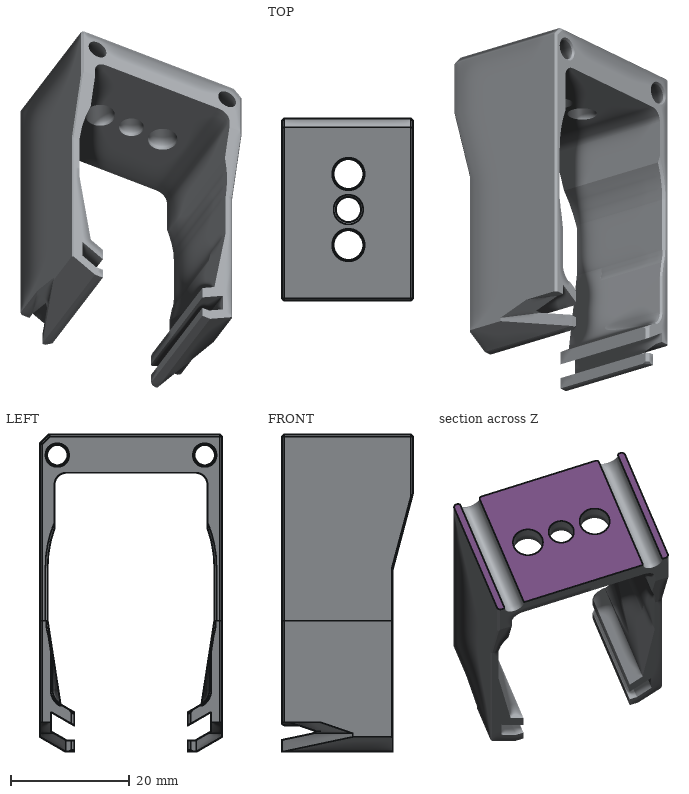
import cadquery as cq
import math

depth = 22.19
width = 30.8
height = 53.6
half_width = width / 2
edge_chamfer = 0.4
lower_far_chamfer = 0.22
top_corner_chamfer = 1.5
overcut = 5.0
tolerance = 0.01

lower_depth = 18.75
taper_top_z = 43.7
taper_bottom_z = 30.8

split_z = 22.1
roof_z = 47.1
roof_radius = 2.0
upper_inner_y = 12.9
thin_inner_y = 14.05
thinning_radius = 18.5
thinning_top_z = 37.7
thinning_step = thin_inner_y - upper_inner_y
thinning_drop = math.sqrt(thinning_radius**2 - (thinning_radius - thinning_step) ** 2)
thinning_bottom_z = thinning_top_z - thinning_drop

side_hole_y = 12.45
side_hole_z = 50.1
side_hole_diameter = 3.4
side_hole_chamfer = 0.3
top_hole_x = 11.25
top_hole_pitch = 6.0
outer_top_hole_diameter = 5.0
outer_top_hole_chamfer = 0.25
middle_top_hole_diameter = 4.2
middle_top_hole_chamfer = 0.4

lip_angle = 30.0
lip_slope = math.tan(math.radians(lip_angle))
lip_tip_y = 9.56
lip_tip_chamfer = 0.5
lip_tip_bevel = 0.3
upper_lip_tip_bottom_z = 4.4
upper_lip_tip_top_z = 6.65
wall_foot_y = 11.87
wall_foot_z = upper_lip_tip_top_z + (wall_foot_y - lip_tip_y) * lip_slope
slot_wall_y = 13.5
slot_top_z = upper_lip_tip_bottom_z + (slot_wall_y - lip_tip_y) * lip_slope
lower_lip_flat_y = 10.85
lower_lip_top_z = 1.9
slot_bottom_z = lower_lip_top_z + (slot_wall_y - lower_lip_flat_y) * lip_slope
outer_bend_z = 2.5
foot_y = half_width - outer_bend_z / lip_slope
wall_lean = math.atan2(thin_inner_y - wall_foot_y, split_z - wall_foot_z)

relief_radius = 8.0
relief_length = 13.4
relief_turn = 2 * wall_lean

pocket_wall_y = 13.28
pocket_angle = 5.4
pocket_radius = 2.75
pocket_curve_z = 10.45
pocket_length = 16.0
inner_edge_bevel = 0.3
flare_angle = 45.0
pocket_turn = math.radians(90 - lip_angle)

undercut_angle = 20.0
undercut_end_x = 12.0
undercut_step_z = 3.1
undercut_top_z = 5.0
undercut_reach = 10.0


def trim_far_side(body):
    """Cut away everything beyond the tapered far side."""
    waste = (
        cq.Workplane("XZ")
        .moveTo(depth, taper_top_z)
        .lineTo(lower_depth, taper_bottom_z)
        .lineTo(lower_depth, -overcut)
        .lineTo(depth + overcut, -overcut)
        .lineTo(depth + overcut, taper_top_z)
        .close()
        .extrude(width, both=True)
    )
    return body.cut(waste)


def near_edges(body, y_low, y_high, z_high):
    """Edges on the near end face centered in a |Y| range and below a height."""
    def inside(edge):
        center = edge.Center()
        return y_low < abs(center.y) < y_high and center.z < z_high

    return body.faces("<X").edges().filter(inside)


def chamfer_far_corners(body):
    """Chamfer the outer upright edges of the tapered and lower far faces."""
    def is_far_corner(edge):
        center = edge.Center()
        on_side = abs(abs(center.y) - half_width) < tolerance
        return on_side and center.x > lower_depth - tolerance and center.z < taper_top_z

    return body.edges("#Y").filter(is_far_corner).chamfer(lower_far_chamfer)


def make_bridge():
    """Upper yoke: solid roof with two side walls that thin out towards the split."""
    thinning_mid_angle = math.acos(1 - thinning_step / thinning_radius) / 2
    thinning_mid_y = thin_inner_y - thinning_radius * (1 - math.cos(thinning_mid_angle))
    thinning_mid_z = thinning_bottom_z + thinning_radius * math.sin(thinning_mid_angle)
    block = (
        cq.Workplane("YZ")
        .rect(width, height - split_z)
        .extrude(depth)
        .translate((0, 0, (height + split_z) / 2))
        .edges("|X and >Y and >Z")
        .chamfer(top_corner_chamfer)
    )
    opening = (
        cq.Workplane("YZ")
        .moveTo(-thin_inner_y, split_z)
        .lineTo(-thin_inner_y, thinning_bottom_z)
        .threePointArc((-thinning_mid_y, thinning_mid_z), (-upper_inner_y, thinning_top_z))
        .lineTo(-upper_inner_y, roof_z)
        .lineTo(upper_inner_y, roof_z)
        .lineTo(upper_inner_y, thinning_top_z)
        .threePointArc((thinning_mid_y, thinning_mid_z), (thin_inner_y, thinning_bottom_z))
        .lineTo(thin_inner_y, split_z)
        .close()
        .extrude(depth)
        .edges("|X and >Z")
        .fillet(roof_radius)
    )
    near_rim = block.faces("<X").edges("not <Z")
    far_rim = block.faces(">X").edges("not <Z")
    top_side_edge = block.edges("<Y and >Z")
    block = block.newObject(near_rim.vals() + far_rim.vals() + top_side_edge.vals()).chamfer(edge_chamfer)
    bridge = trim_far_side(block)
    bridge = chamfer_far_corners(bridge)
    bridge = bridge.cut(opening)
    inner_edges = near_edges(bridge, upper_inner_y, thin_inner_y + tolerance, thinning_top_z)
    return inner_edges.chamfer(edge_chamfer)


def make_leg():
    """Leg on the +Y side, from the split down to its two lips."""
    leg = (
        cq.Workplane("YZ")
        .moveTo(half_width, split_z)
        .lineTo(thin_inner_y, split_z)
        .lineTo(wall_foot_y, wall_foot_z)
        .lineTo(lip_tip_y, upper_lip_tip_top_z)
        .lineTo(lip_tip_y, upper_lip_tip_bottom_z)
        .lineTo(slot_wall_y, slot_top_z)
        .lineTo(slot_wall_y, slot_bottom_z)
        .lineTo(lower_lip_flat_y, lower_lip_top_z)
        .lineTo(lip_tip_y, lower_lip_top_z)
        .lineTo(lip_tip_y, 0)
        .lineTo(foot_y, 0)
        .lineTo(half_width, outer_bend_z)
        .close()
        .extrude(lower_depth)
    )
    leg = leg.faces("<Y").edges("<X").chamfer(lip_tip_chamfer)
    leg = bevel_lip_tips(leg)
    leg = leg.cut(make_relief()).cut(make_pocket())
    leg = leg.cut(make_inner_edge_bevel())
    outer_edge = near_edges(leg, half_width - tolerance, half_width + tolerance, split_z)
    leg = outer_edge.chamfer(edge_chamfer)
    leg = chamfer_far_corners(leg)
    return leg.cut(make_undercut())


def bevel_lip_tips(leg):
    """Bevel the top of the upper lip and the foot of the lower lip along their tip chamfers."""
    tip_center_y = lip_tip_y + lip_tip_chamfer / 2

    def is_tip_edge(edge):
        center = edge.Center()
        on_tip = abs(center.y - tip_center_y) < tolerance and center.x < lip_tip_chamfer
        return on_tip and (center.z < tolerance or center.z > upper_lip_tip_top_z)

    return leg.edges().filter(is_tip_edge).chamfer(lip_tip_bevel)


def relief_point(turn):
    """Point on the relief curve after turning from vertical by the given angle."""
    y = thin_inner_y - relief_radius * (1 - math.cos(turn))
    return (y, split_z - relief_radius * math.sin(turn))


def pocket_point(turn):
    """Point on the pocket's bottom curve after turning from vertical by the given angle."""
    y = pocket_wall_y - pocket_radius * (1 - math.cos(turn))
    return (y, pocket_curve_z - pocket_radius * math.sin(turn))


def make_relief():
    """Shallow curved cut that keeps the wall upright just below the split."""
    return (
        cq.Workplane("YZ")
        .moveTo(thin_inner_y, split_z)
        .threePointArc(relief_point(wall_lean), relief_point(relief_turn))
        .close()
        .extrude(relief_length)
    )


def make_pocket():
    """Slanted cut that thins the inner wall towards the near end and rounds into the upper lip."""
    end_y, end_z = pocket_point(pocket_turn)
    return (
        cq.Workplane("YZ", origin=(-overcut, 0, 0))
        .moveTo(pocket_wall_y, split_z)
        .lineTo(pocket_wall_y, pocket_curve_z)
        .threePointArc(pocket_point(pocket_turn / 2), (end_y, end_z))
        .lineTo(end_y - overcut, end_z)
        .lineTo(end_y - overcut, split_z)
        .close()
        .extrude(pocket_length + overcut)
        .rotate((0, pocket_wall_y, 0), (0, pocket_wall_y, 1), -pocket_angle)
    )


def make_inner_edge_bevel():
    """Flared tool that bevels the near inner edge from the split down to the upper lip."""
    pocket_start_z = split_z - (thin_inner_y - pocket_wall_y) / math.tan(wall_lean)
    end_y, end_z = pocket_point(pocket_turn)
    return (
        cq.Workplane("YZ", origin=(inner_edge_bevel, 0, 0))
        .moveTo(thin_inner_y, split_z + overcut)
        .lineTo(thin_inner_y, split_z)
        .threePointArc(relief_point(wall_lean), relief_point(relief_turn))
        .lineTo(pocket_wall_y, pocket_start_z)
        .lineTo(pocket_wall_y, pocket_curve_z)
        .threePointArc(pocket_point(pocket_turn / 2), (end_y, end_z))
        .lineTo(end_y, split_z + overcut)
        .close()
        .extrude(-inner_edge_bevel, taper=-flare_angle)
    )


def make_undercut():
    """Oblique cut that frees the near end of the lower lip from the outer wall."""
    step_height = undercut_top_z - undercut_step_z
    return (
        cq.Workplane("YZ")
        .moveTo(0, -overcut)
        .lineTo(0, undercut_step_z)
        .lineTo(step_height, undercut_top_z)
        .lineTo(undercut_reach, undercut_top_z)
        .lineTo(undercut_reach, -overcut)
        .close()
        .extrude(depth, both=True)
        .rotate((0, 0, 0), (0, 0, 1), undercut_angle)
        .translate((undercut_end_x, half_width, 0))
    )


def countersunk(diameter, chamfer, length):
    """Straight drill along +Z with a conical mouth at Z = 0."""
    radius = diameter / 2
    return (
        cq.Workplane("XZ")
        .moveTo(0, 0)
        .lineTo(radius + chamfer, 0)
        .lineTo(radius, chamfer)
        .lineTo(radius, length)
        .lineTo(0, length)
        .close()
        .revolve(360, (0, 0), (0, 1))
    )


def drill_holes(bridge):
    """Cross holes through the roof ends and a row of three holes down through the roof."""
    side_drill = countersunk(side_hole_diameter, side_hole_chamfer, depth)
    side_drill = side_drill.rotate((0, 0, 0), (0, 1, 0), 90)
    for y in (-side_hole_y, side_hole_y):
        bridge = bridge.cut(side_drill.translate((0, y, side_hole_z)))

    roof_thickness = height - roof_z
    outer_drill = countersunk(outer_top_hole_diameter, outer_top_hole_chamfer, roof_thickness)
    middle_drill = countersunk(middle_top_hole_diameter, middle_top_hole_chamfer, roof_thickness)
    drills = ((-top_hole_pitch, outer_drill), (0, middle_drill), (top_hole_pitch, outer_drill))
    for y, drill in drills:
        downward = drill.rotate((0, 0, 0), (1, 0, 0), 180)
        bridge = bridge.cut(downward.translate((top_hole_x, y, height)))
    return bridge


bridge = drill_holes(make_bridge())
leg = make_leg()
legs = [leg, leg.mirror("XZ")]

result = cq.Compound.makeCompound([bridge.val(), *[side.val() for side in legs]])